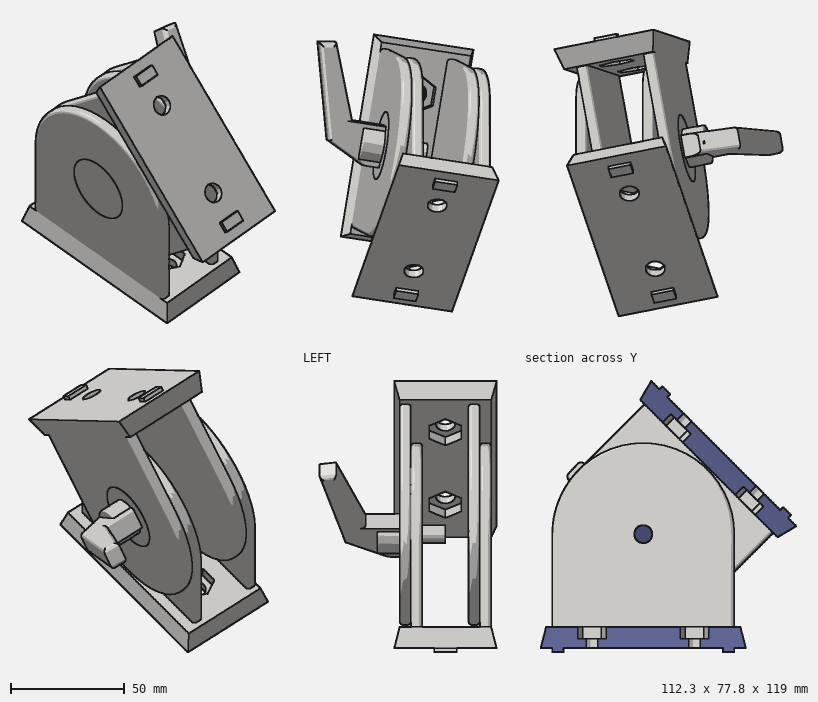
import cadquery as cq
import math


overall_height = 119.0
opening_angle = 45.0

pivot_height = 50.0
base_length = 90.1
base_width = 45.0
base_thickness = 9.3
bolt_diameter = 8.5
bolt_spacing = 45.0
nut_flats = 14.0
nut_corners = nut_flats / math.cos(math.radians(30))
nut_depth = 5.1

pad_length = 5.0
pad_width = 10.0
pad_spacing = 75.0
base_reach = (pivot_height + base_length / 2) * math.sin(math.radians(opening_angle))
pad_height = overall_height - pivot_height - base_reach

cheek_radius = 40.0
cheek_thickness = 5.0
cheek_fillet = 1.7
outer_face = 20.1
cheek_contact = outer_face - cheek_thickness
inner_face = cheek_contact - cheek_thickness
boss_diameter = 30.0

base_taper = math.degrees(math.atan((base_width / 2 - outer_face) / base_thickness))

lever_angle = 43.0
lever_width = 10.0
lever_fillet = 2.0
leg_inner = 8.9
leg_outer = 9.4
hub_diameter = 17.1
hub_height = 9.8
hub_fillet = 0.6
stud_diameter = 8.0
inner_bend_y = 35.0
slope_start_y = 27.6
outer_bend = (-1.2, 44.0)
tip_inner = (42.1, 47.8)
tip_outer = (40.9, 55.3)


def y_cylinder(diameter, y_start, y_end):
    """Cylinder on the pivot axis between two Y positions."""
    return (
        cq.Workplane("XZ", origin=(0, y_start, 0))
        .circle(diameter / 2)
        .extrude(-(y_end - y_start))
    )


def bracket_base():
    """Tapered base plate with two bolt holes, nut pockets and pads."""
    mounting_face = cq.Workplane("XY", origin=(0, 0, -pivot_height))
    bolt_points = [(-bolt_spacing / 2, 0), (bolt_spacing / 2, 0)]
    pad_points = [(-pad_spacing / 2, 0), (pad_spacing / 2, 0)]

    base = mounting_face.rect(base_length, base_width).extrude(base_thickness, taper=base_taper)
    pads = mounting_face.pushPoints(pad_points).rect(pad_length, pad_width).extrude(-pad_height)
    bolts = mounting_face.pushPoints(bolt_points).circle(bolt_diameter / 2).extrude(base_thickness)
    nuts = (
        mounting_face.workplane(offset=base_thickness - nut_depth)
        .pushPoints(bolt_points)
        .polygon(6, nut_corners)
        .extrude(nut_depth)
    )
    return base.union(pads).cut(bolts).cut(nuts)


def cheek(y_start):
    """Round-topped cheek standing on the base, with its rim rounded on both faces."""
    foot = base_thickness - pivot_height
    return (
        cq.Workplane("XZ", origin=(0, y_start, 0))
        .moveTo(-cheek_radius, foot)
        .lineTo(-cheek_radius, 0)
        .threePointArc((0, cheek_radius), (cheek_radius, 0))
        .lineTo(cheek_radius, foot)
        .close()
        .extrude(-cheek_thickness)
        .faces("<Y or >Y")
        .edges("not <Z")
        .fillet(cheek_fillet)
    )


def bracket():
    """Hinge half: a bored cheek at -Y and a cheek at +Y whose boss fits the other half's bore."""
    bored_cheek = cheek(-outer_face).cut(y_cylinder(boss_diameter, -outer_face, -cheek_contact))
    boss = y_cylinder(boss_diameter, inner_face, outer_face)
    return bracket_base().union(bored_cheek).union(cheek(inner_face)).union(boss)


def lever_handle():
    """Straight leg and bent arm, drawn along +X and then swung up towards -X."""
    half_width = lever_width / 2
    handle = (
        cq.Workplane("XY", origin=(0, 0, -half_width))
        .moveTo(-leg_outer, outer_face)
        .lineTo(leg_inner, outer_face)
        .lineTo(leg_inner, inner_bend_y)
        .lineTo(*tip_inner)
        .lineTo(*tip_outer)
        .lineTo(*outer_bend)
        .lineTo(-leg_outer, slope_start_y)
        .close()
        .extrude(lever_width)
    )
    arm_edges = handle.faces("|Z").edges().edges("not |Y").edges("not <Y").vals()
    upper_leg_edge = handle.faces("<Z").edges("|Y").edges(">X").vals()
    rounded = handle.newObject(arm_edges + upper_leg_edge).fillet(lever_fillet)
    return rounded.rotate((0, 0, 0), (0, 1, 0), 180 + lever_angle)


def clamping_lever():
    """Handle with a round hub and a stud that reaches the mid plane."""
    hub = y_cylinder(hub_diameter, outer_face, outer_face + hub_height)
    hub = hub.faces(">Y").edges().fillet(hub_fillet)
    stud = y_cylinder(stud_diameter, 0, outer_face)
    return lever_handle().union(hub).union(stud)


lower_bracket = bracket().cut(y_cylinder(stud_diameter, inner_face, outer_face))
upper_bracket = (
    bracket()
    .rotate((0, 0, 0), (1, 0, 0), 180)
    .rotate((0, 0, 0), (0, 1, 0), opening_angle)
)
lever = clamping_lever()

result = cq.Compound.makeCompound([lower_bracket.val(), upper_bracket.val(), lever.val()])